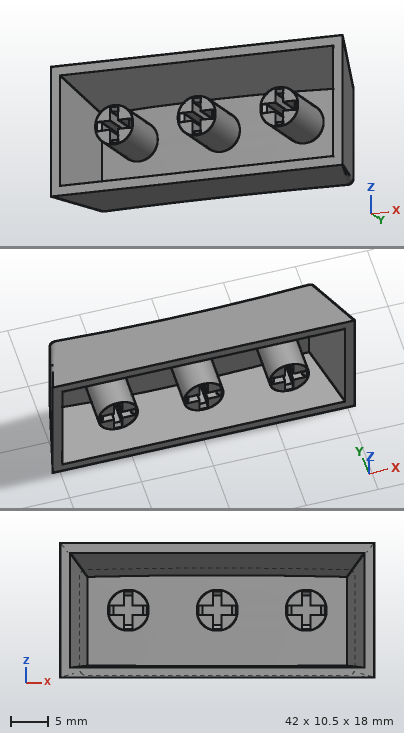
import cadquery as cq
import math

length = 42.0
height = 18.0
depth = 10.5
side_inset = 2.6
top_inset = 3.6
bottom_inset = 0.3
back_corner_radius = 0.92
mouth_corner_radius = 0.02

wall = 1.35
back_thickness = 1.1
dish_sag = 0.7

stem_count = 3
stem_pitch = 11.9
stem_diameter = 5.45
stem_z = height / 2
socket_span = 3.95
level_arm_width = 1.25
upright_arm_width = 1.15
mouth_span = 4.95
lead_in_depth = 0.5


def section(y, margin, corner_radius=0):
    """Rectangular section of the tapered body at depth y, set in by margin."""
    taper = y / depth
    width = length - 2 * (side_inset * taper + margin)
    bottom = bottom_inset * taper + margin
    top = height - top_inset * taper - margin
    sketch = cq.Sketch().rect(width, top - bottom)
    if corner_radius > 0:
        sketch = sketch.vertices().fillet(corner_radius)
    return sketch.moved(cq.Location(cq.Vector(0, (bottom + top) / 2, -y)))


def tapered_body(mouth, back):
    """Body with straight sides between the mouth section and the back section."""
    return cq.Workplane("XZ").placeSketch(mouth, back).loft(ruled=True)


def in_front_of_dish(thickness):
    """Space in front of the concave back face, kept the given thickness away from it."""
    half_back = length / 2 - side_inset
    dish_radius = (half_back**2 + dish_sag**2) / (2 * dish_sag)
    half_length = length / 2
    y_middle = depth - dish_sag - thickness
    y_end = y_middle + dish_radius - math.sqrt(dish_radius**2 - half_length**2)
    return (
        cq.Workplane("XY")
        .moveTo(-half_length, 0)
        .lineTo(half_length, 0)
        .lineTo(half_length, y_end)
        .threePointArc((0, y_middle), (-half_length, y_end))
        .close()
        .extrude(height)
    )


def stem_plane():
    """Mouth plane with its origin on the middle stem's axis; negative offsets go into the part."""
    return cq.Workplane("XZ", origin=(0, 0, stem_z))


def socket_arm(mouth_size, inner_size):
    """One slot of the cross, with a sloped lead-in at both ends of its mouth."""
    slot = stem_plane().rect(*inner_size).extrude(-depth)
    lead_in = (
        stem_plane()
        .rect(*mouth_size)
        .workplane(offset=-lead_in_depth)
        .rect(*inner_size)
        .loft(ruled=True)
    )
    return slot.union(lead_in)


outer = tapered_body(section(0, 0, mouth_corner_radius), section(depth, 0, back_corner_radius))
cavity_space = in_front_of_dish(back_thickness)
cavity = tapered_body(section(0, wall), section(depth, wall)).intersect(cavity_space)
result = outer.intersect(in_front_of_dish(0)).cut(cavity)

level_arm = socket_arm((mouth_span, level_arm_width), (socket_span, level_arm_width))
upright_arm = socket_arm((upright_arm_width, mouth_span), (upright_arm_width, socket_span))
socket = level_arm.union(upright_arm).intersect(cavity_space)
stem_space = in_front_of_dish(back_thickness / 2)
for index in range(stem_count):
    x = (index - (stem_count - 1) / 2) * stem_pitch
    stem = stem_plane().center(x, 0).circle(stem_diameter / 2).extrude(-depth).intersect(stem_space)
    result = result.union(stem).cut(socket.translate((x, 0, 0)))